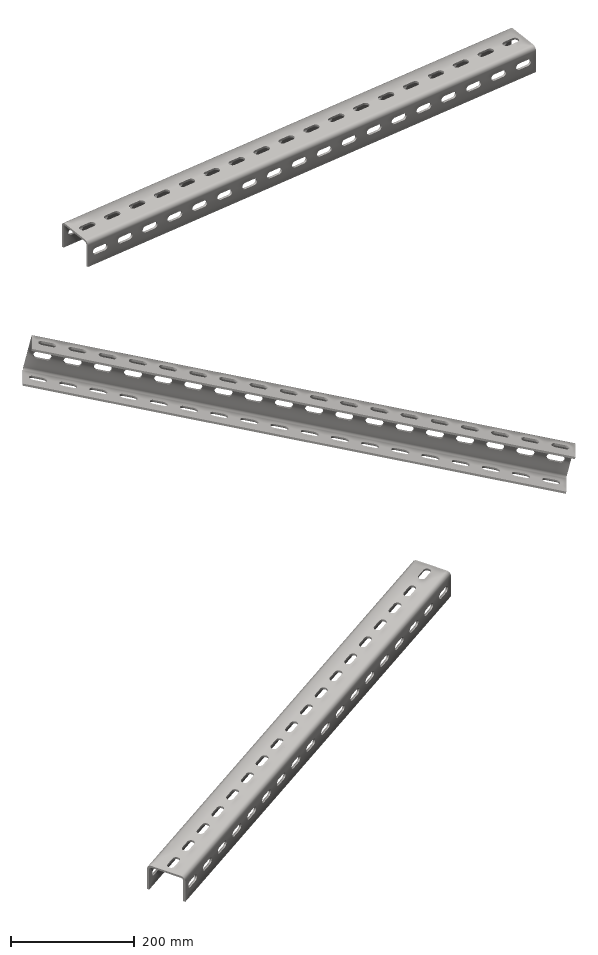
import cadquery as cq

LENGTH = 900.0
WIDTH = 70.0
HEIGHT = 50.0

THICKNESS = 4.0
OUTER_BEND_RADIUS = 8.0
INNER_BEND_RADIUS = OUTER_BEND_RADIUS - THICKNESS

SLOT_COUNT = 18
SLOT_LENGTH = 30.0
SLOT_WIDTH = 13.0
SLOT_PITCH = LENGTH / SLOT_COUNT
FLANGE_SLOT_HEIGHT = HEIGHT / 2


def bent_block(width, height, bend_radius):
    """Full-length block on Z = 0 with both upper long edges rounded."""
    block = cq.Workplane("XY").box(width, LENGTH, height, centered=(True, True, False))
    return block.edges("|Y and >Z").fillet(bend_radius)


def channel():
    """U-shaped sheet profile with concentric bends."""
    outside = bent_block(WIDTH, HEIGHT, OUTER_BEND_RADIUS)
    inside = bent_block(WIDTH - 2 * THICKNESS, HEIGHT - THICKNESS, INNER_BEND_RADIUS)
    return outside.cut(inside)


def slot_row(plane, depth):
    """Row of slot cutters along Y, extruded by depth along the plane normal."""
    positions = [(0, (i - (SLOT_COUNT - 1) / 2) * SLOT_PITCH) for i in range(SLOT_COUNT)]
    return (
        cq.Workplane(plane)
        .pushPoints(positions)
        .slot2D(SLOT_LENGTH, SLOT_WIDTH, 90)
        .extrude(depth)
    )


web_plane = cq.Plane(origin=(0, 0, HEIGHT - THICKNESS), xDir=(1, 0, 0), normal=(0, 0, 1))
flange_plane = cq.Plane(origin=(-WIDTH / 2, 0, FLANGE_SLOT_HEIGHT), xDir=(0, 0, -1), normal=(1, 0, 0))

result = channel().cut(slot_row(web_plane, THICKNESS)).cut(slot_row(flange_plane, WIDTH))